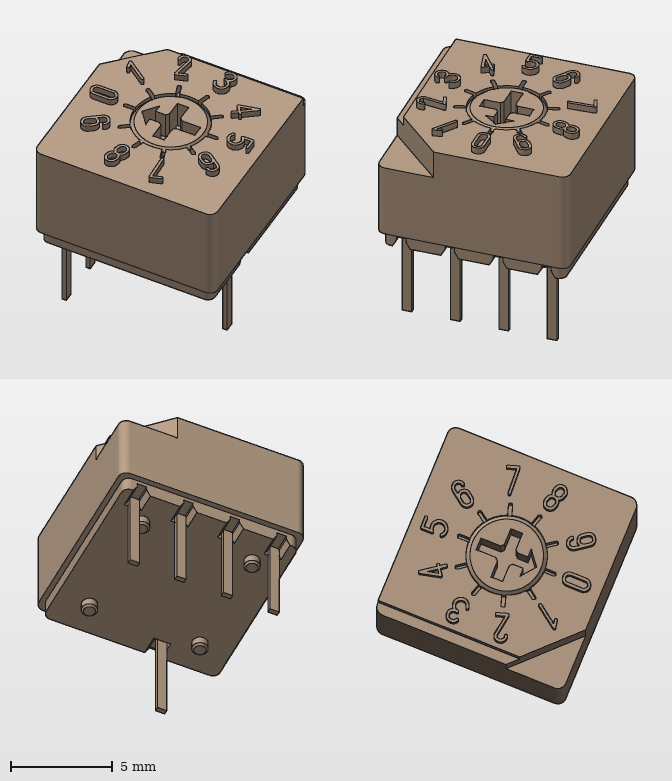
import cadquery as cq

BASE_HEIGHT = 0.8
CASE_HEIGHT = 5.35
NUMERAL_HEIGHT = 0.35
LONG_PIN_DROP = 5.0
SHORT_PIN_DROP = 4.2
CASE_TOP = BASE_HEIGHT + CASE_HEIGHT

CASE_SIDE = 10.0
CASE_CORNER_RADIUS = 0.44
CORNER_CUT_LEG = 3.0
CORNER_CUT_DEPTH = 1.5
LEDGE_WIDTH = 0.52
LEDGE_DEPTH = 0.48

BASE_SIDE = 9.45
BASE_CORNER_RADIUS = 0.4
STUD_DIAMETER = 0.8
STUD_HEIGHT = 0.52
STUD_CHAMFER = 0.1
STUD_OFFSET = 3.0

PIN_PITCH = 2.53
PIN_WIDTH = 0.51
PIN_THICKNESS = 0.24
PIN_ROW_X = 3.8
SHORT_PIN_ROWS = (-1.5, -0.5, 0.5, 1.5)
LONG_PIN_ROW = -0.5
PIN_TOP = 0.58
PIN_BEND_RADIUS = 0.2
NOTCH_FLARE_START = 0.37
NOTCH_FOOT_WIDTH = 0.92

ROTOR_DIAMETER = 4.0
ROTOR_THICKNESS = 2.0
ROTOR_CHAMFER_WIDTH = 0.2
ROTOR_CHAMFER_DEPTH = 0.2
RECESS_DEPTH = 1.5
ARM_WIDTH = 0.62
ARM_LENGTH = 1.3
TAIL_LENGTH = 1.5
ARROW_TIP = 1.59
ARROW_WING_X = 1.0
ARROW_WING_Y = 0.74
ARM_CORNER_CHAMFER = 0.14

POSITIONS = 10
STEP_ANGLE = 360.0 / POSITIONS
ZERO_ANGLE = 180.0
GROOVE_WIDTH = 0.21
GROOVE_DEPTH = 0.5
GROOVE_REACH = 2.61
NUMERAL_RADIUS = 3.7
NUMERAL_STROKE = 0.15
HALF_W = 0.26
HALF_H = 0.65
SIDE_SHIFTS = {5: -0.07, 6: -0.25, 9: 0.25}


def block(x_size, y_size, z_bottom, z_top):
    """Box centred on the Z axis between two heights."""
    return (
        cq.Workplane("XY")
        .workplane(offset=z_bottom)
        .rect(x_size, y_size)
        .extrude(z_top - z_bottom)
    )


def dial_angle(position):
    """Angle of a dial position; the positions run clockwise from zero at -X."""
    return ZERO_ANGLE - position * STEP_ANGLE


def case():
    body = block(CASE_SIDE, CASE_SIDE, BASE_HEIGHT, CASE_TOP)
    return body.edges("|Z").fillet(CASE_CORNER_RADIUS)


def corner_cut():
    """Triangular step at the -X +Y corner."""
    half = CASE_SIDE / 2
    return (
        cq.Workplane("XY")
        .workplane(offset=CASE_TOP - CORNER_CUT_DEPTH)
        .moveTo(-half, half)
        .lineTo(-half + CORNER_CUT_LEG, half)
        .lineTo(-half, half - CORNER_CUT_LEG)
        .close()
        .extrude(CORNER_CUT_DEPTH)
    )


def ledge_cut():
    """Shallow step along the +Y top edge."""
    strip = block(CASE_SIDE, LEDGE_WIDTH, CASE_TOP - LEDGE_DEPTH, CASE_TOP)
    return strip.translate((0, (CASE_SIDE - LEDGE_WIDTH) / 2, 0))


def rotor_hole():
    return (
        cq.Workplane("XY")
        .workplane(offset=CASE_TOP - ROTOR_THICKNESS)
        .circle(ROTOR_DIAMETER / 2)
        .extrude(ROTOR_THICKNESS)
    )


def index_groove(position):
    """Round-ended groove running outward from the rotor hole."""
    start = ROTOR_DIAMETER / 2 - GROOVE_WIDTH
    length = GROOVE_REACH - start
    groove = (
        cq.Workplane("XY")
        .workplane(offset=CASE_TOP - GROOVE_DEPTH)
        .center(start + length / 2, 0)
        .slot2D(length, GROOVE_WIDTH)
        .extrude(GROOVE_DEPTH)
    )
    return groove.rotate((0, 0, 0), (0, 0, 1), dial_angle(position))


def pen(x, y):
    """Start of a numeral stroke, in a frame centred on the numeral."""
    return cq.Workplane("XY").moveTo(x, y)


def stroke(center_line):
    """Give an open centre line its stroke width and height."""
    return center_line.wire().offset2D(NUMERAL_STROKE / 2).extrude(NUMERAL_HEIGHT)


def upright_slot(y_center, half_width, half_height):
    return (
        cq.Workplane("XY")
        .center(0, y_center)
        .slot2D(2 * half_height, 2 * half_width, 90)
        .extrude(NUMERAL_HEIGHT)
    )


def loop(y_center, half_height):
    """Closed upright loop with round ends."""
    half_stroke = NUMERAL_STROKE / 2
    outer = upright_slot(y_center, HALF_W + half_stroke, half_height + half_stroke)
    return outer.cut(upright_slot(y_center, HALF_W - half_stroke, half_height - half_stroke))


def six():
    """Loop and tail of the six; the nine is the same shape turned over."""
    loop_half_height = 0.39
    loop_center = loop_half_height - HALF_H
    tail = stroke(
        pen(-HALF_W, loop_center)
        .lineTo(-HALF_W, HALF_H - HALF_W)
        .threePointArc((0, HALF_H), (HALF_W, HALF_H - HALF_W))
    )
    return [loop(loop_center, loop_half_height), tail]


def numeral_parts(digit):
    """Raised strokes and loops that form one digit."""
    shoulder = HALF_H - HALF_W
    if digit == 0:
        return [loop(0, HALF_H)]
    if digit == 1:
        flag_x = -0.3
        stem_x = -0.05
        return [stroke(pen(flag_x, shoulder).lineTo(stem_x, HALF_H).lineTo(stem_x, -HALF_H))]
    if digit == 2:
        return [
            stroke(
                pen(-HALF_W, shoulder)
                .threePointArc((0, HALF_H), (HALF_W, shoulder))
                .lineTo(-HALF_W, -HALF_H)
                .lineTo(HALF_W, -HALF_H)
            )
        ]
    if digit == 3:
        waist = (0, 0.07)
        upper_bulge = (0.21, 0.55)
        lower_bulge = (0.21, -0.56)
        upper = stroke(pen(-HALF_W, shoulder).threePointArc(upper_bulge, waist))
        lower = stroke(pen(*waist).threePointArc(lower_bulge, (-HALF_W, -shoulder)))
        return [upper, lower]
    if digit == 4:
        stem_x = 0.14
        bar_y = -0.3
        half_stroke = NUMERAL_STROKE / 2
        stem = upright_slot(0, half_stroke, HALF_H + half_stroke).translate((stem_x, 0, 0))
        arm = stroke(pen(stem_x, HALF_H).lineTo(-HALF_W, bar_y).lineTo(HALF_W, bar_y))
        return [stem, arm]
    if digit == 5:
        bowl_top = 0.12
        bowl_bulge = (0.25, -0.39)
        return [
            stroke(
                pen(HALF_W, HALF_H)
                .lineTo(-HALF_W, HALF_H)
                .lineTo(-HALF_W, bowl_top)
                .threePointArc(bowl_bulge, (-HALF_W, -shoulder))
            )
        ]
    if digit == 7:
        foot_x = -0.09
        return [stroke(pen(-HALF_W, HALF_H).lineTo(HALF_W, HALF_H).lineTo(foot_x, -HALF_H))]
    if digit == 8:
        quarter = HALF_H / 2
        return [loop(quarter, quarter), loop(-quarter, quarter)]
    return six()


def numeral(digit):
    """Raised digit at its dial position, its top pointing outward."""
    shape = cq.Workplane("XY")
    for part in numeral_parts(digit):
        shape = shape.union(part)
    if digit == 9:
        shape = shape.rotate((0, 0, 0), (0, 0, 1), 180)
    placed = shape.translate((SIDE_SHIFTS.get(digit, 0), NUMERAL_RADIUS, CASE_TOP))
    return placed.rotate((0, 0, 0), (0, 0, 1), dial_angle(digit) - 90)


def base():
    plate = block(BASE_SIDE, BASE_SIDE, 0, BASE_HEIGHT)
    return plate.edges("|Z").fillet(BASE_CORNER_RADIUS)


def studs():
    return (
        cq.Workplane("XY")
        .rect(2 * STUD_OFFSET, 2 * STUD_OFFSET, forConstruction=True)
        .vertices()
        .circle(STUD_DIAMETER / 2)
        .extrude(-STUD_HEIGHT)
        .faces("<Z")
        .chamfer(STUD_CHAMFER)
    )


def at_pin_place(shape, side, row):
    """Move a shape made for the -X side at y = 0 to its side (-1 or 1) and row."""
    turned = shape if side < 0 else shape.mirror("YZ")
    return turned.translate((0, row * PIN_PITCH, 0))


def pin_notch(side, row):
    """Notch from the side of the base to the inner face of a pin, flared at its foot."""
    inner_x = -PIN_ROW_X + PIN_THICKNESS / 2
    half_top = PIN_WIDTH / 2
    half_foot = NOTCH_FOOT_WIDTH / 2
    notch = (
        cq.Workplane("YZ")
        .workplane(offset=-BASE_SIDE / 2)
        .moveTo(-half_foot, 0)
        .lineTo(-half_top, NOTCH_FLARE_START)
        .lineTo(-half_top, PIN_TOP)
        .lineTo(half_top, PIN_TOP)
        .lineTo(half_top, NOTCH_FLARE_START)
        .lineTo(half_foot, 0)
        .close()
        .extrude(inner_x + BASE_SIDE / 2)
    )
    return at_pin_place(notch, side, row)


def pin(side, row, drop):
    """Flat pin against the back of its notch, rounded where it bends into the base."""
    blade = block(PIN_THICKNESS, PIN_WIDTH, -drop, PIN_TOP)
    blade = blade.edges("|Y and >Z and <X").fillet(PIN_BEND_RADIUS)
    return at_pin_place(blade.translate((-PIN_ROW_X, 0, 0)), side, row)


def housing():
    """Case, base, pins, studs and numerals as one solid."""
    pin_places = [(-1, row, SHORT_PIN_DROP) for row in SHORT_PIN_ROWS]
    pin_places.append((1, LONG_PIN_ROW, LONG_PIN_DROP))

    foot = base().union(studs())
    for side, row, drop in pin_places:
        foot = foot.cut(pin_notch(side, row)).union(pin(side, row, drop))
    body = case().union(foot)

    body = body.cut(corner_cut()).cut(ledge_cut()).cut(rotor_hole())
    for position in range(POSITIONS):
        body = body.cut(index_groove(position)).union(numeral(position))
    return body


def driver_recess():
    """Cross-shaped recess whose -X arm ends in an arrow head."""
    half_arm = ARM_WIDTH / 2
    corner = half_arm + ARM_CORNER_CHAMFER
    upper_half = [
        (-ARROW_WING_X, ARROW_WING_Y),
        (-ARROW_WING_X, half_arm),
        (-corner, half_arm),
        (-half_arm, corner),
        (-half_arm, ARM_LENGTH),
        (half_arm, ARM_LENGTH),
        (half_arm, corner),
        (corner, half_arm),
        (TAIL_LENGTH, half_arm),
    ]
    lower_half = [(x, -y) for x, y in reversed(upper_half)]
    return (
        cq.Workplane("XY")
        .workplane(offset=CASE_TOP - RECESS_DEPTH)
        .polyline([(-ARROW_TIP, 0)] + upper_half + lower_half)
        .close()
        .extrude(RECESS_DEPTH)
    )


def rotor():
    """Chamfered disc that fills the hole in the case, flush with the case top."""
    disc = rotor_hole().faces(">Z").chamfer(ROTOR_CHAMFER_DEPTH, ROTOR_CHAMFER_WIDTH)
    return disc.cut(driver_recess())


result = cq.Compound.makeCompound([housing().val(), rotor().val()])